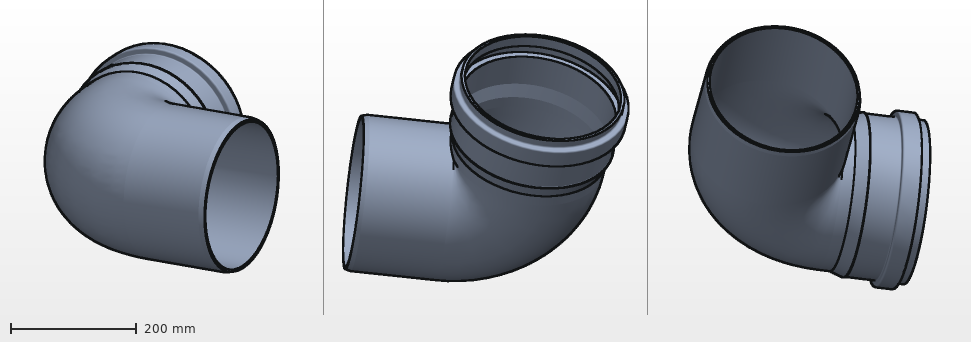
import cadquery as cq
import math


PIPE_DIAMETER = 250.2
PIPE_BORE = 237.8
BEND_ANGLE = 87.5
BEND_RADIUS = 118.35
SPIGOT_LENGTH = 144.65
SPIGOT_CHAMFER_LENGTH = 9.0
SPIGOT_CHAMFER_ANGLE = 15.0

LIP_DIAMETER = 263.1
BEAD_DIAMETER = 283.3
BODY_DIAMETER = 262.1
RIDGE_DIAMETER = 265.1
LIP_BORE = 252.1
GROOVE_DIAMETER = 273.7
BODY_BORE = 251.1

BEAD_START = 15.0
BEAD_END = 46.0
RIDGE_START = 97.0
RIDGE_END = 98.0
CONE_END = 120.3
BEND_START = 140.0

BEAD_EDGE_RADIUS = 3.0
LIP_ROOT_RADIUS = 3.0
BODY_ROOT_RADIUS = (RIDGE_DIAMETER - BODY_DIAMETER) / 2
BEAD_WALL = (BEAD_DIAMETER - GROOVE_DIAMETER) / 2


def revolve_about_socket_axis(profile):
    return profile.close().revolve(360, (0, 0, 0), (0, 1, 0))


def socket_outer():
    """Lip, rounded seal bead, body, ridge, cone and collar down to the bend."""
    lip = LIP_DIAMETER / 2
    bead = BEAD_DIAMETER / 2
    body = BODY_DIAMETER / 2
    ridge = RIDGE_DIAMETER / 2
    pipe = PIPE_DIAMETER / 2
    bead_flat = bead - BEAD_EDGE_RADIUS
    profile = (
        cq.Workplane("XY")
        .lineTo(lip, 0)
        .lineTo(lip, -BEAD_START + LIP_ROOT_RADIUS)
        .tangentArcPoint((lip + LIP_ROOT_RADIUS, -BEAD_START), relative=False)
        .lineTo(bead_flat, -BEAD_START)
        .tangentArcPoint((bead, -BEAD_START - BEAD_EDGE_RADIUS), relative=False)
        .lineTo(bead, -BEAD_END + BEAD_EDGE_RADIUS)
        .tangentArcPoint((bead_flat, -BEAD_END), relative=False)
        .lineTo(body + BODY_ROOT_RADIUS, -BEAD_END)
        .tangentArcPoint((body, -BEAD_END - BODY_ROOT_RADIUS), relative=False)
        .lineTo(body, -RIDGE_START + BODY_ROOT_RADIUS)
        .tangentArcPoint((ridge, -RIDGE_START), relative=False)
        .lineTo(ridge, -RIDGE_END)
        .lineTo(pipe, -CONE_END)
        .lineTo(pipe, -BEND_START)
        .lineTo(0, -BEND_START)
    )
    return revolve_about_socket_axis(profile)


def socket_bore():
    """Lip bore, seal groove inside the bead, body bore, cone and collar bore."""
    groove_start = -BEAD_START - BEAD_WALL
    groove_end = -BEAD_END + BEAD_WALL
    profile = (
        cq.Workplane("XY")
        .lineTo(LIP_BORE / 2, 0)
        .lineTo(LIP_BORE / 2, groove_start)
        .lineTo(GROOVE_DIAMETER / 2, groove_start)
        .lineTo(GROOVE_DIAMETER / 2, groove_end)
        .lineTo(BODY_BORE / 2, groove_end)
        .lineTo(BODY_BORE / 2, -RIDGE_END)
        .lineTo(PIPE_BORE / 2, -CONE_END)
        .lineTo(PIPE_BORE / 2, -BEND_START)
        .lineTo(0, -BEND_START)
    )
    return revolve_about_socket_axis(profile)


def bend(diameter):
    """Round section swept about the bend axis, cut flat where it would cross that axis."""
    radius = diameter / 2
    half_chord = math.sqrt(radius**2 - BEND_RADIUS**2)
    section = (
        cq.Workplane("XZ", origin=(0, -BEND_START, 0))
        .moveTo(BEND_RADIUS, half_chord)
        .threePointArc((-radius, 0), (BEND_RADIUS, -half_chord))
        .close()
    )
    return section.revolve(BEND_ANGLE, (BEND_RADIUS, -1, 0), (BEND_RADIUS, 1, 0))


def spigot_plane():
    """Plane across the end of the bend, with its normal along the spigot."""
    angle = math.radians(BEND_ANGLE)
    center = (
        BEND_RADIUS * (1 - math.cos(angle)),
        -BEND_START - BEND_RADIUS * math.sin(angle),
        0,
    )
    return cq.Plane(
        origin=center,
        xDir=(0, 0, 1),
        normal=(math.sin(angle), -math.cos(angle), 0),
    )


def spigot_outer():
    chamfer_depth = SPIGOT_CHAMFER_LENGTH * math.tan(math.radians(SPIGOT_CHAMFER_ANGLE))
    spigot = cq.Workplane(spigot_plane()).circle(PIPE_DIAMETER / 2).extrude(SPIGOT_LENGTH)
    return spigot.faces(">X").edges().chamfer(SPIGOT_CHAMFER_LENGTH, chamfer_depth)


def spigot_bore():
    return cq.Workplane(spigot_plane()).circle(PIPE_BORE / 2).extrude(SPIGOT_LENGTH)


outer = socket_outer().union(bend(PIPE_DIAMETER)).union(spigot_outer())
bore = socket_bore().union(bend(PIPE_BORE)).union(spigot_bore())
result = outer.cut(bore)